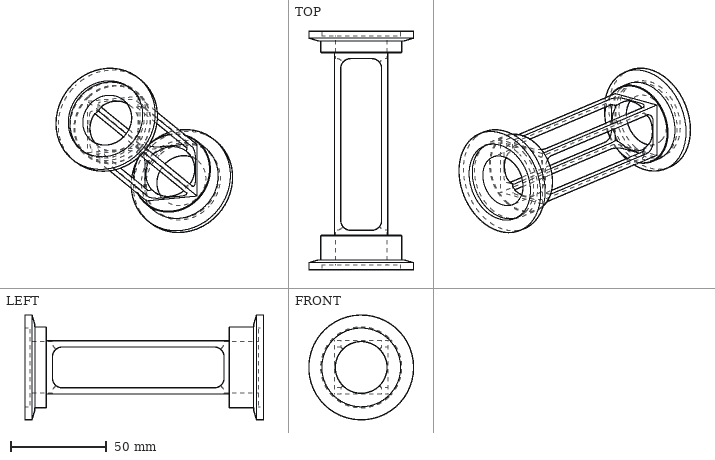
import cadquery as cq

length = 125.0
flange_diameter = 55.0
hub_diameter = 42.5
bore_diameter = 27.0
recess_diameter = 41.2
recess_depth = 2.6
rim_thickness = 3.8
flange_thickness = 5.2
cone_end_diameter = 45.0
front_hub_end = 18.1
rear_hub_end = 11.4
hub_chamfer = 0.4

cage_width = 28.0
window_width = 21.2
front_margin = 2.6
rear_margin = 3.1
window_radius = 5.0

half_length = length / 2


def flanged_end(hub_end):
    """Flange and hub revolved about Y, with the outer face at Y = 0."""
    flange_radius = flange_diameter / 2
    hub_radius = hub_diameter / 2
    profile = [
        (0, 0),
        (flange_radius, 0),
        (flange_radius, rim_thickness),
        (cone_end_diameter / 2, flange_thickness),
        (hub_radius, flange_thickness),
        (hub_radius, hub_end - hub_chamfer),
        (hub_radius - hub_chamfer, hub_end),
        (0, hub_end),
    ]
    end = cq.Workplane("XY").polyline(profile).close().revolve(360, (0, 0), (0, 1))
    recess = cq.Workplane("XZ").circle(recess_diameter / 2).extrude(-recess_depth)
    return end.cut(recess)


front_end = flanged_end(front_hub_end).translate((0, -half_length, 0))
rear_end = flanged_end(rear_hub_end).mirror("XZ").translate((0, half_length, 0))

cage_start = -half_length + front_hub_end
cage_end = half_length - rear_hub_end
cage_length = cage_end - cage_start
cage_center = (cage_start + cage_end) / 2
cage = cq.Workplane("XY").box(cage_width, cage_length, cage_width).translate((0, cage_center, 0))

window_start = cage_start + front_margin
window_end = cage_end - rear_margin
window_center = (window_start + window_end) / 2
window = (
    cq.Workplane("XY")
    .box(window_width, window_end - window_start, cage_width)
    .edges("|Z")
    .fillet(window_radius)
    .translate((0, window_center, 0))
)
for angle in (0, 90):
    cage = cage.cut(window.rotate((0, 0, 0), (0, 1, 0), angle))

bore = (
    cq.Workplane("XZ", origin=(0, -half_length, 0))
    .circle(bore_diameter / 2)
    .extrude(-length)
)

result = front_end.union(cage).union(rear_end).cut(bore)